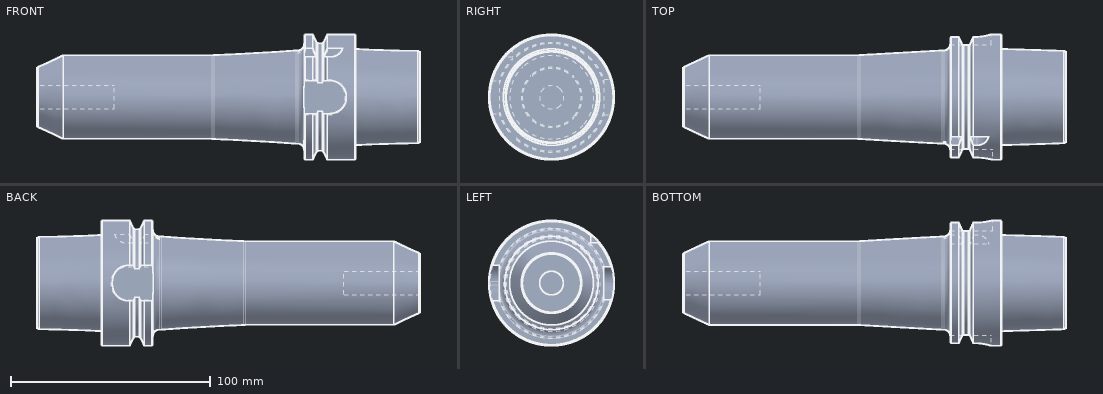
import cadquery as cq
import math

total_length = 192.0
nose_length = 13.0
neck_start = 87.5
neck_cone_start = 88.7
neck_cone_end = 129.6
neck_end = 130.8
flange_start = 134.0
flange_end = 159.7

nose_radius = 15.2
body_radius = 42.0 / 2
cone_start_radius = 21.1
neck_radius = 23.5
collar_radius = 26.5
collar_rim_radius = 27.6
collar_rim_length = 0.2
flange_radius = 63.0 / 2
shank_base_radius = 24.2
shank_end_radius = 46.5 / 2
nose_chamfer = 0.5
flange_chamfer = 0.5
shank_chamfer_length = 1.2
shank_chamfer_depth = 0.5

groove_floor_radius = 27.0
groove_center = 141.9
groove_floor_width = 2.1
groove_foot_radius = 27.6
groove_foot_width = 3.6
groove_mouth_width = 7.3

bore_diameter = 12.0
bore_depth = 38.4

slot_floor = 26.1
front_slot_width = 16.5
front_slot_end = 155.1
rear_slot_width = 17.9
rear_slot_end = 154.2
rear_slot_corner_radius = 8.0

notch_wall_y = -19.8
notch_floor_z = 20.2
notch_run_out_radius = 12.5 / 2
notch_run_out_start = 147.3


def turned_body():
    floor_half = groove_floor_width / 2
    foot_half = groove_foot_width / 2
    mouth_half = groove_mouth_width / 2
    shank_chamfer_start = total_length - shank_chamfer_length
    fillet_end = flange_start - collar_rim_length
    fillet_length = fillet_end - neck_end
    fillet_height = collar_radius - neck_radius
    diagonal = math.sqrt(0.5)
    fillet_mid = (
        neck_end + fillet_length * diagonal,
        collar_radius - fillet_height * diagonal,
    )
    profile = (
        cq.Workplane("XY")
        .moveTo(0, 0)
        .lineTo(0, nose_radius - nose_chamfer)
        .lineTo(nose_chamfer, nose_radius)
        .lineTo(nose_length, body_radius)
        .lineTo(neck_start, body_radius)
        .lineTo(neck_cone_start, cone_start_radius)
        .lineTo(neck_cone_end, neck_radius)
        .lineTo(neck_end, neck_radius)
        .threePointArc(fillet_mid, (fillet_end, collar_radius))
        .lineTo(flange_start, collar_rim_radius)
        .lineTo(flange_start, flange_radius - flange_chamfer)
        .lineTo(flange_start + flange_chamfer, flange_radius)
        .lineTo(groove_center - mouth_half, flange_radius)
        .lineTo(groove_center - foot_half, groove_foot_radius)
        .lineTo(groove_center - floor_half, groove_floor_radius)
        .lineTo(groove_center + floor_half, groove_floor_radius)
        .lineTo(groove_center + foot_half, groove_foot_radius)
        .lineTo(groove_center + mouth_half, flange_radius)
        .lineTo(flange_end - flange_chamfer, flange_radius)
        .lineTo(flange_end, flange_radius - flange_chamfer)
        .lineTo(flange_end, shank_base_radius)
        .lineTo(shank_chamfer_start, shank_end_radius)
        .lineTo(total_length, shank_end_radius - shank_chamfer_depth)
        .lineTo(total_length, 0)
        .close()
    )
    return profile.revolve(360, (0, 0, 0), (1, 0, 0))


def slot_cutter(side, width, end, corner_radius):
    """Slot on the +Y (side = 1) or -Y (side = -1) flank with rounded inner corners."""
    half = width / 2
    round_start = end - corner_radius
    diagonal = corner_radius * math.sqrt(0.5)
    flat_half = half - corner_radius
    corner_mid = (round_start + diagonal, flat_half + diagonal)
    outline = (
        cq.Workplane("XZ", origin=(0, side * slot_floor, 0))
        .moveTo(neck_end, -half)
        .lineTo(neck_end, half)
        .lineTo(round_start, half)
        .threePointArc(corner_mid, (end, flat_half))
    )
    if flat_half > 0:
        outline = outline.lineTo(end, -flat_half)
    outline = outline.threePointArc((corner_mid[0], -corner_mid[1]), (round_start, -half))
    return outline.close().extrude(-side * (flange_radius - slot_floor))


def notch_cutter():
    """Right-angled notch whose floor curves up and out through the rim."""
    radius = notch_run_out_radius
    arc_center_z = notch_floor_z + radius
    diagonal = radius * math.sqrt(0.5)
    return (
        cq.Workplane("XZ", origin=(0, notch_wall_y, 0))
        .moveTo(neck_end, notch_floor_z)
        .lineTo(notch_run_out_start, notch_floor_z)
        .threePointArc(
            (notch_run_out_start + diagonal, arc_center_z - diagonal),
            (notch_run_out_start + radius, arc_center_z),
        )
        .lineTo(neck_end, arc_center_z)
        .close()
        .extrude(flange_radius + notch_wall_y)
    )


bore = cq.Workplane("YZ").circle(bore_diameter / 2).extrude(bore_depth)
front_corner_radius = front_slot_width / 2

result = (
    turned_body()
    .cut(bore)
    .cut(slot_cutter(-1, front_slot_width, front_slot_end, front_corner_radius))
    .cut(slot_cutter(1, rear_slot_width, rear_slot_end, rear_slot_corner_radius))
    .cut(notch_cutter())
)